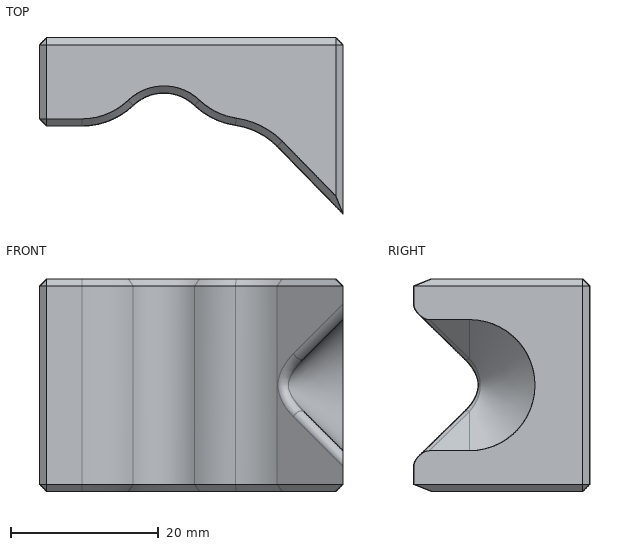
import cadquery as cq
import math

length = 41.15
depth = 23.9
height = 28.85
plain_depth = 12.0
edge_chamfer = 1.0

flat_length = 5.75
bend_radius = 10.05
hollow_radius = 6.0
steep_angle = math.radians(43.8)
shallow_angle = math.radians(8.2)
slope_angle = math.radians(45)

notch_apex_x = 11.7
notch_axis_depth = 7.57
notch_fillet = 1.0
slope_tolerance = 0.2

back = depth / 2
tip = -depth / 2
left = -length / 2
right = length / 2


def add_arc(outline, start, radius, start_angle, end_angle):
    """Add an arc running to +X between two heading angles; return its end point."""
    bend = math.copysign(1, end_angle - start_angle)

    def point_at(heading):
        return (
            start[0] + bend * radius * (math.sin(heading) - math.sin(start_angle)),
            start[1] - bend * radius * (math.cos(heading) - math.cos(start_angle)),
        )

    end = point_at(end_angle)
    outline = outline.threePointArc(point_at((start_angle + end_angle) / 2), end)
    return outline, end


def make_body():
    """Extrude the wavy outline and chamfer every edge except the sharp tip."""
    front = back - plain_depth
    end = (left + flat_length, front)
    outline = cq.Workplane("XY").workplane(offset=-height / 2)
    outline = outline.moveTo(left, back).lineTo(left, front).lineTo(*end)
    for radius, start_angle, end_angle in (
        (bend_radius, 0, steep_angle),
        (hollow_radius, steep_angle, -steep_angle),
        (bend_radius, -steep_angle, -shallow_angle),
        (bend_radius, -shallow_angle, -slope_angle),
    ):
        outline, end = add_arc(outline, end, radius, start_angle, end_angle)
    outline = outline.lineTo(right, tip).lineTo(right, back).close()
    body = outline.extrude(height)
    corners = body.edges("|Z").edges("<X or >Y")
    rims = body.faces("<Z or >Z").edges()
    return corners.add(rims).chamfer(edge_chamfer)


def make_notch():
    """Cone opening towards +X, joined to a wedge running out past the tip."""
    notch_length = length / 2
    apex = (notch_apex_x, tip + notch_axis_depth, 0)
    cone = cq.Workplane(cq.Solid.makeCone(
        0, notch_length, notch_length, pnt=cq.Vector(*apex), dir=cq.Vector(1, 0, 0)))
    wedge = (
        cq.Workplane("XZ", origin=apex)
        .polyline([(0, 0), (notch_length, notch_length), (notch_length, -notch_length)])
        .close()
        .extrude(depth)
    )
    return cone.union(wedge)


def on_notch_mouth(edge):
    """True for the edges where the notch breaks through the sloping front."""
    center = edge.Center()
    on_slope = abs(center.x + center.y - (right + tip)) < slope_tolerance
    inside_notch = center.x > notch_apex_x + notch_fillet and abs(center.z) < height / 4
    before_tip = center.x < right - notch_fillet
    return on_slope and inside_notch and before_tip


notched = make_body().cut(make_notch())
result = notched.edges().filter(on_notch_mouth).fillet(notch_fillet)